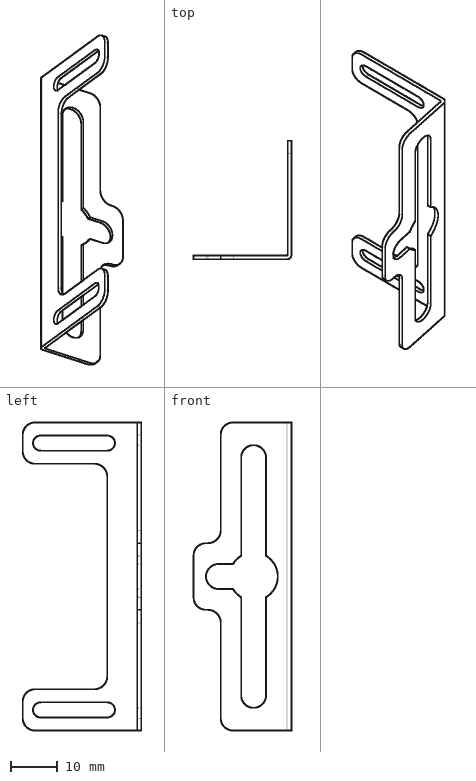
import cadquery as cq

width = 21.0
depth = 25.4
height = 66.05

thickness = 0.85
bend_outer_radius = 1.0
bend_inner_radius = bend_outer_radius - thickness
corner_radius = 2.7

tab_length = 5.8
tab_height = 14.3
opening_width = 5.3
opening_height = 56.2
opening_x = 12.9
keyhole_radius = 5.15
side_slot_start = 2.7

arm_height = 8.9
web_depth = 7.3
arm_slot_length = 17.5
arm_slot_width = 3.2
arm_slot_tip_margin = 2.25


def bent_sheet():
    """L-shaped sheet with a rounded bend, centred on Z = 0."""
    outer = cq.Workplane("XY").box(width, depth, height, centered=(False, False, True))
    outer = outer.edges("|Z and >X and <Y").fillet(bend_outer_radius)
    inner = (
        cq.Workplane("XY")
        .box(width - thickness, depth - thickness, height, centered=(False, False, True))
        .translate((0, thickness, 0))
        .edges("|Z and >X and <Y")
        .fillet(bend_inner_radius)
    )
    return outer.cut(inner)


def front_outline():
    """Front plate outline, extruded through the full depth."""
    plate = cq.Workplane("XY").box(width, depth, height, centered=(False, False, True))
    for side in (1, -1):
        notch_height = (height - tab_height) / 2
        notch_z = side * (tab_height + notch_height) / 2
        notch = (
            cq.Workplane("XY")
            .box(tab_length, depth, notch_height, centered=(False, False, True))
            .translate((0, 0, notch_z))
        )
        plate = plate.cut(notch)
    straight_side = cq.selectors.BoxSelector(
        (-0.65, -0.65, -height), (tab_length + 0.65, depth + 0.65, height)
    )
    return plate.edges("|Y").edges(straight_side).fillet(corner_radius)


def side_outline():
    """Side plate outline, extruded through the full width."""
    plate = cq.Workplane("XY").box(width, depth, height, centered=(False, False, True))
    gap = (
        cq.Workplane("XY")
        .box(width, depth - web_depth, height - 2 * arm_height, centered=(False, False, True))
        .translate((0, web_depth, 0))
    )
    plate = plate.cut(gap)
    rounded_side = cq.selectors.BoxSelector(
        (-0.65, web_depth - 0.65, -height), (width + 0.65, depth + 0.65, height)
    )
    return plate.edges("|X").edges(rounded_side).fillet(corner_radius)


def front_opening():
    """Tall slot, round middle and a short slot reaching into the tab."""
    plane = cq.Workplane("XZ", origin=(opening_x, 0, 0))
    tall_slot = plane.slot2D(opening_height, opening_width, 90).extrude(-thickness)
    middle = plane.circle(keyhole_radius).extrude(-thickness)
    side_slot_length = opening_x + opening_width / 2 - side_slot_start
    side_slot = (
        plane.center(opening_width / 2 - side_slot_length / 2, 0)
        .slot2D(side_slot_length, opening_width)
        .extrude(-thickness)
    )
    return tall_slot.union(middle).union(side_slot)


def arm_slots():
    """One slot along the middle of each arm."""
    slot_y = depth - arm_slot_tip_margin - arm_slot_length / 2
    slot_z = (height - arm_height) / 2
    return (
        cq.Workplane("YZ")
        .pushPoints([(slot_y, slot_z), (slot_y, -slot_z)])
        .slot2D(arm_slot_length, arm_slot_width)
        .extrude(width)
    )


sheet = bent_sheet().intersect(front_outline()).intersect(side_outline())
bracket = sheet.cut(front_opening()).cut(arm_slots())

result = bracket.translate((-width / 2, -depth / 2, 0))